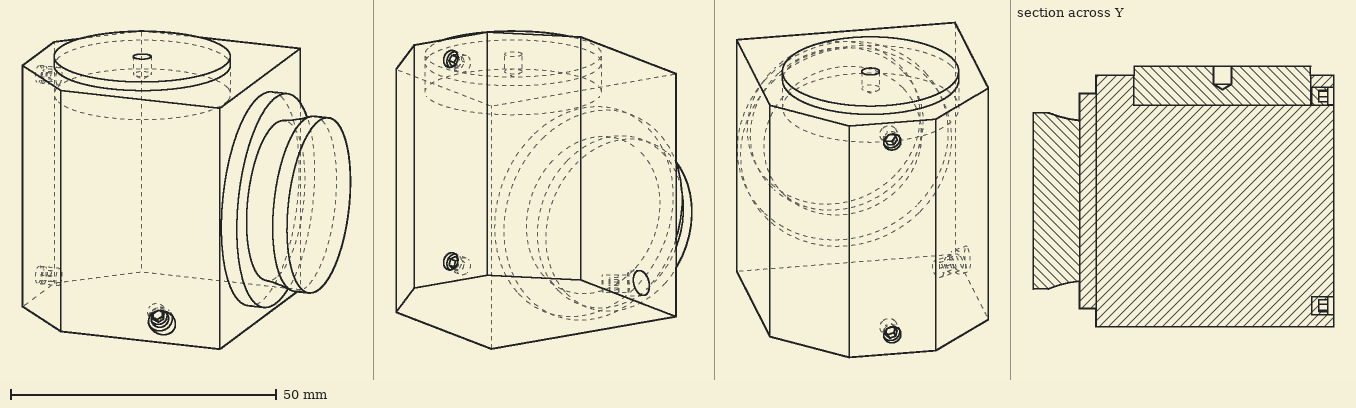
import cadquery as cq
import math


housing_width = 42.0
housing_length = 44.85
housing_height = 47.45
corner_cut = 12.7
housing_left = -housing_width / 2
housing_right = housing_left + housing_length
housing_front = -housing_width / 2

disc_diameter = 33.3
disc_height = 1.7
disc_seat_depth = 5.65
drill_diameter = 3.35
drill_depth = 3.4
drill_tip_angle = 118.0
disc_bottom = housing_height - disc_seat_depth
disc_top = housing_height + disc_height

total_length = 56.7
flange_diameter = 40.6
flange_thickness = 3.1
knob_diameter = disc_diameter
knob_rim_thickness = 2.9
knob_neck_diameter = 30.4
flare_sag = 0.2
knob_axis_height = housing_height / 2
flange_right = housing_right + flange_thickness
knob_right = housing_left + total_length

screw_diameter = 3.3
screw_length = 3.0
socket_across_flats = 2.05
socket_depth = 1.7
screw_inset = 3.95
left_screw_recess = 1.15
upper_socket_turn = -5.0
lower_socket_turn = 15.0

angled_hole_tilt = 30.0
counterbore_diameter = 4.7
counterbore_depth = 2.5
angled_screw_recess = 1.85
angled_socket_turn = 30.0
angled_hole_angle = math.radians(angled_hole_tilt)
angled_hole_x = -housing_front * math.tan(angled_hole_angle)


def hole_plane(origin, outward, turn=0.0):
    """Plane whose normal points out of a horizontal hole; its x axis is level before the turn."""
    level = cq.Vector(0, 0, 1).cross(cq.Vector(*outward))
    return cq.Plane(origin=origin, xDir=level.toTuple(), normal=outward).rotated((0, 0, turn))


def bore(plane, diameter, depth, overrun=0.0):
    """Cylinder reaching from an overrun outside the plane to a depth behind it."""
    start = cq.Workplane(plane).workplane(offset=overrun)
    return start.circle(diameter / 2).extrude(-(depth + overrun))


def disc_blank():
    """Undrilled disc, from the floor of its recess to its top face."""
    floor = cq.Workplane("XY", origin=(0, 0, disc_bottom))
    return floor.circle(disc_diameter / 2).extrude(disc_top - disc_bottom)


def drilled_hole():
    """Cylinder with a conical tip, going down from the top of the disc."""
    radius = drill_diameter / 2
    tip_length = radius / math.tan(math.radians(drill_tip_angle / 2))
    wall_bottom = disc_top - drill_depth
    profile = cq.Workplane("XZ").polyline(
        [
            (0, disc_top),
            (radius, disc_top),
            (radius, wall_bottom),
            (0, wall_bottom - tip_length),
        ]
    )
    return profile.close().revolve(360, (0, 0, 0), (0, 1, 0))


def make_set_screw(plane, recess):
    """Headless screw, its hexagon socket facing out, sunk by the recess below the plane."""
    face = cq.Workplane(plane).workplane(offset=-recess)
    socket_across_corners = socket_across_flats / math.cos(math.radians(30))
    body = face.circle(screw_diameter / 2).extrude(-screw_length)
    socket = face.polygon(6, socket_across_corners).extrude(-socket_depth)
    return body.cut(socket)


def make_housing():
    block = cq.Workplane("XY").box(
        housing_length, housing_width, housing_height, centered=(False, True, False)
    )
    block = block.translate((housing_left, 0, 0))
    block = block.edges("|Z and <X").chamfer(corner_cut)
    block = block.cut(disc_blank())
    for plane in left_screw_planes:
        block = block.cut(bore(plane, screw_diameter, left_screw_recess + screw_length))
    block = block.cut(
        bore(angled_plane, counterbore_diameter, counterbore_depth, counterbore_diameter)
    )
    angled_depth = counterbore_depth + angled_screw_recess + screw_length
    return block.cut(bore(angled_plane, screw_diameter, angled_depth))


def make_disc():
    return disc_blank().cut(drilled_hole())


def make_flange():
    face = cq.Workplane("YZ", origin=(housing_right, 0, knob_axis_height))
    return face.circle(flange_diameter / 2).extrude(flange_thickness)


def make_knob():
    """Knob whose neck flares out in a hollow curve to a cylindrical rim."""
    neck_radius = knob_neck_diameter / 2
    rim_radius = knob_diameter / 2
    length = knob_right - flange_right
    neck_length = length - knob_rim_thickness
    flare_middle = (neck_length / 2, (neck_radius + rim_radius) / 2 - flare_sag)
    profile = (
        cq.Workplane("XZ", origin=(flange_right, 0, knob_axis_height))
        .lineTo(0, neck_radius)
        .threePointArc(flare_middle, (neck_length, rim_radius))
        .lineTo(length, rim_radius)
        .lineTo(length, 0)
        .close()
    )
    return profile.revolve(360, (0, 0, 0), (1, 0, 0))


left_screw_planes = [
    hole_plane((housing_left, 0, height), (-1, 0, 0), turn)
    for height, turn in [
        (screw_inset, lower_socket_turn),
        (housing_height - screw_inset, upper_socket_turn),
    ]
]
angled_plane = hole_plane(
    (angled_hole_x, housing_front, screw_inset),
    (math.sin(angled_hole_angle), -math.cos(angled_hole_angle), 0),
    angled_socket_turn,
)

housing = make_housing()
disc = make_disc()
flange = make_flange()
knob = make_knob()
set_screws = [make_set_screw(plane, left_screw_recess) for plane in left_screw_planes]
set_screws.append(make_set_screw(angled_plane, counterbore_depth + angled_screw_recess))

result = cq.Compound.makeCompound(
    [
        housing.val(),
        disc.val(),
        flange.val(),
        knob.val(),
        *[screw.val() for screw in set_screws],
    ]
)